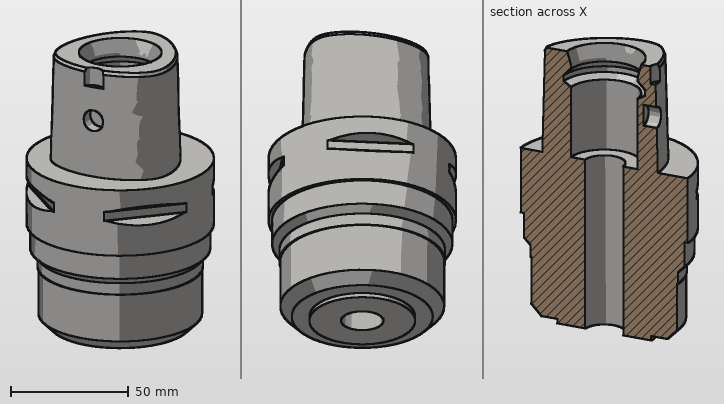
import cadquery as cq
import math

total_height = 125.4

nose_radius = 22.6
nose_height = 2.0
nut_radius = 35.0
nut_chamfer = 4.9
nut_top = 28.2
neck_radius = 35.4
neck_top = 33.5
collar_radius = 38.5
collar_top = 47.7
flange_radius = 40.0
flange_top = 77.4

shank_base_radius = 27.7
shank_tip_radius = 26.5
lobe_height = 2.0
curve_points = 48
shank_edge_height = 1.6
shank_edge_inset = 0.8

mouth_radius = 17.7
throat_radius = 15.8
throat_start_depth = 6.3
throat_end_depth = 7.8
groove_radius = 19.3
groove_end_depth = 13.9
groove_exit_depth = 16.0
bore_floor_height = flange_top
through_radius = 9.0

slot_count = 4
slot_first_angle = 45.0
slot_center_height = 65.3
slot_width = 4.0
slot_floor_distance = 35.5
slot_mouth_width = 8.7
slot_flare_distance = 36.0
slot_cutter_end = 2 * flange_radius

notch_width = 9.3
notch_back_distance = 22.1
notch_side_distance = 24.5
notch_floor_height = 117.5
pocket_radius = 4.6
pocket_height = 102.5
pocket_floor_distance = 18.8


def revolve_profile(profile):
    """Revolve (radius, height) points about the Z axis."""
    return cq.Workplane("XZ").polyline(profile).close().revolve(360, (0, 0), (0, 1))


def turned_body():
    """Stack of cylinders and chamfers below the shank."""
    collar_chamfer = collar_radius - neck_radius
    profile = [
        (0, 0),
        (nose_radius, 0),
        (nose_radius, nose_height),
        (nut_radius - nut_chamfer, nose_height),
        (nut_radius, nose_height + nut_chamfer),
        (nut_radius, nut_top),
        (neck_radius, nut_top),
        (neck_radius, neck_top),
        (collar_radius, neck_top + collar_chamfer),
        (collar_radius, collar_top),
        (flange_radius, collar_top),
        (flange_radius, flange_top),
        (0, flange_top),
    ]
    return revolve_profile(profile)


def lobed_wire(mean_radius, height):
    """Closed three-lobed curve with one lobe pointing to +Y.

    Its distance from the axis, measured square to the tangent at each angle,
    is mean_radius + lobe_height * cos(3 * angle).
    """

    def point(angle):
        along = (
            mean_radius * math.cos(angle)
            + 2 * lobe_height * math.cos(2 * angle)
            - lobe_height * math.cos(4 * angle)
        )
        across = (
            mean_radius * math.sin(angle)
            - 2 * lobe_height * math.sin(2 * angle)
            - lobe_height * math.sin(4 * angle)
        )
        return cq.Vector(-across, along, height)

    points = [point(2 * math.pi * index / curve_points) for index in range(curve_points)]
    return cq.Wire.assembleEdges([cq.Edge.makeSpline(points, periodic=True)])


def lobed_frustum(bottom_radius, bottom, top_radius, top):
    """Straight-sided solid between two lobed sections."""
    sections = [lobed_wire(bottom_radius, bottom), lobed_wire(top_radius, top)]
    return cq.Workplane(cq.Solid.makeLoft(sections, True))


def shank():
    """Tapered lobed shank with a narrow bevel around its tip."""
    edge_start = total_height - shank_edge_height
    taper = lobed_frustum(shank_base_radius, flange_top, shank_tip_radius, edge_start)
    bevel_radius = shank_tip_radius - shank_edge_inset
    bevel = lobed_frustum(shank_tip_radius, edge_start, bevel_radius, total_height)
    return taper.union(bevel)


def bore():
    """Conical mouth, throat, inner groove, deep bore and through hole."""
    groove_start_depth = throat_end_depth + groove_radius - throat_radius
    profile = [
        (0, total_height),
        (mouth_radius, total_height),
        (throat_radius, total_height - throat_start_depth),
        (throat_radius, total_height - throat_end_depth),
        (groove_radius, total_height - groove_start_depth),
        (groove_radius, total_height - groove_end_depth),
        (throat_radius, total_height - groove_exit_depth),
        (throat_radius, bore_floor_height),
        (through_radius, bore_floor_height),
        (through_radius, 0),
        (0, 0),
    ]
    return revolve_profile(profile)


def gripper_slot(angle):
    """Flat-floored slot with flared upper and lower mouth edges."""
    half_width = slot_width / 2
    half_mouth = slot_mouth_width / 2
    upper = [
        (slot_floor_distance, half_width),
        (slot_flare_distance, half_width),
        (flange_radius, half_mouth),
        (slot_cutter_end, half_mouth),
    ]
    lower = [(distance, -offset) for distance, offset in reversed(upper)]
    section = cq.Workplane("XZ", origin=(0, 0, slot_center_height)).polyline(upper + lower).close()
    slot = section.extrude(flange_radius, both=True)
    return slot.rotate((0, 0, 0), (0, 0, 1), angle)


def notch():
    """Notch open at the shank tip and outward, with straight sides and an arched back."""
    half_width = notch_width / 2
    plane = cq.Workplane("XY", origin=(0, 0, notch_floor_height))
    outline = (
        plane.moveTo(-half_width, -flange_radius)
        .lineTo(-half_width, -notch_side_distance)
        .threePointArc((0, -notch_back_distance), (half_width, -notch_side_distance))
        .lineTo(half_width, -flange_radius)
        .close()
    )
    return outline.extrude(total_height - notch_floor_height)


def pocket():
    """Blind round pocket entering the shank from -Y."""
    plane = cq.Workplane("XZ", origin=(0, -pocket_floor_distance, pocket_height))
    return plane.circle(pocket_radius).extrude(flange_radius - pocket_floor_distance)


result = turned_body().union(shank())
result = result.cut(bore()).cut(notch()).cut(pocket())
for index in range(slot_count):
    result = result.cut(gripper_slot(slot_first_angle + index * 360 / slot_count))